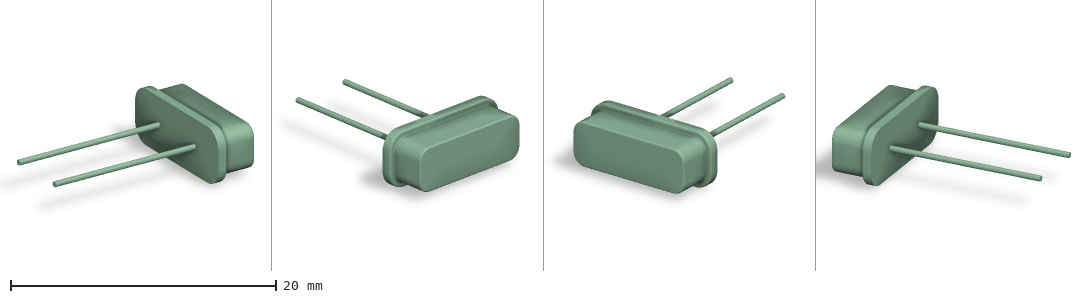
import cadquery as cq

flange_length = 11.35
flange_height = 4.65
flange_thickness = 0.82
flange_corner_radius = 1.5

can_inset = 0.47
can_depth = 2.8
can_length = flange_length - 2 * can_inset
can_height = flange_height - 2 * can_inset
can_corner_radius = flange_corner_radius - can_inset
can_end = flange_thickness + can_depth

edge_radius = 0.15

overall_depth = 16.3
lead_diameter = 0.45
lead_spacing = 4.87
lead_length = overall_depth - can_end
seal_diameter = 0.86


def rounded_block(length, height, corner_radius, y_start, y_end):
    """Block along Y with a rounded rectangular outline in the XZ plane."""
    block = cq.Workplane("XZ", origin=(0, y_start, 0)).rect(length, height).extrude(y_start - y_end)
    return block.edges("|Y").fillet(corner_radius)


def rod(diameter, x, y_start, y_end):
    """Round rod along Y at the given X, at the mid-height of the flange."""
    return cq.Workplane("XZ", origin=(x, y_start, 0)).circle(diameter / 2).extrude(y_start - y_end)


def make_body():
    """Flange and can in one piece, with the rim, the can end and the joint rounded."""
    flange = rounded_block(flange_length, flange_height, flange_corner_radius, 0, flange_thickness)
    flange = flange.faces(">Y").edges().fillet(edge_radius)

    can = rounded_block(can_length, can_height, can_corner_radius, flange_thickness, can_end)
    can = can.faces(">Y").edges().fillet(edge_radius)
    body = flange.union(can)

    flange_rear = body.faces("|Y").faces(">Y[1]").val()
    foot = flange_rear.innerWires()[0]
    return body.newObject(foot.Edges()).fillet(edge_radius)


def add_lead(body, x):
    """Add a seal and its lead, left unmerged so that the seal keeps its own face."""
    seal = rod(seal_diameter, x, 0, flange_thickness)
    lead = rod(lead_diameter, x, -lead_length, 0)
    body = body.cut(seal, clean=False)
    body = body.union(seal, clean=False)
    return body.union(lead, clean=False)


result = make_body()
for side in (-1, 1):
    result = add_lead(result, side * lead_spacing / 2)